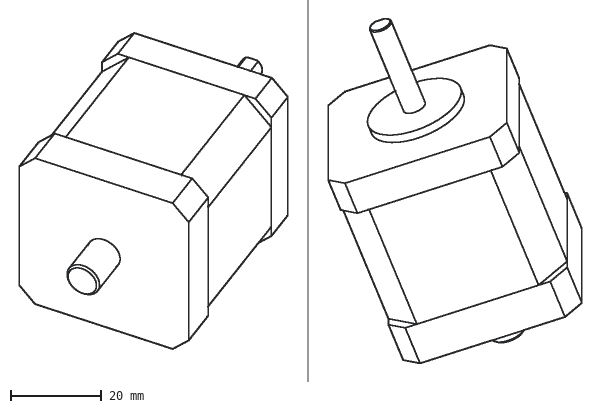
import cadquery as cq

frame_width = 42.0
cap_corner = 4.0
stator_corner = 6.7

total_length = 82.8
rear_shaft_length = 10.5
rear_cap_length = 9.5
front_cap_length = 8.0
flange_length = 2.0
front_shaft_length = 22.0
stator_length = (total_length - rear_shaft_length - rear_cap_length
                 - front_cap_length - flange_length - front_shaft_length)

rear_shaft_diameter = 8.0
rear_shaft_chamfer = 0.5
flange_diameter = 22.0
front_shaft_diameter = 5.1
front_shaft_chamfer = 0.25

flat_length = 15.0
flat_depth = 0.5

stator_rear = -stator_length / 2
stator_front = stator_length / 2
rear_face = stator_rear - rear_cap_length
rear_tip = rear_face - rear_shaft_length
front_face = stator_front + front_cap_length
flange_face = front_face + flange_length
front_tip = flange_face + front_shaft_length


def section_plane(y):
    """Plane across the motor axis at the given Y, extruding toward +Y."""
    return cq.Workplane("XZ", origin=(0, y, 0)).transformed(rotate=(180, 0, 0))


def frame_block(start_y, length, corner):
    """Square block with its four long edges chamfered."""
    block = section_plane(start_y).rect(frame_width, frame_width).extrude(length)
    return block.edges("|Y").chamfer(corner)


def cylinder(start_y, length, diameter):
    """Cylinder on the motor axis."""
    return section_plane(start_y).circle(diameter / 2).extrude(length)


def make_front_shaft():
    """Output shaft with a chamfered tip and a flat facing +Z."""
    shaft = cylinder(flange_face, front_shaft_length, front_shaft_diameter)
    shaft = shaft.faces(">Y").chamfer(front_shaft_chamfer)
    flat_center_y = front_tip - flat_length / 2
    flat_center_z = front_shaft_diameter / 2 - flat_depth / 2
    flat_cutter = cq.Workplane("XY").box(front_shaft_diameter, flat_length, flat_depth)
    return shaft.cut(flat_cutter.translate((0, flat_center_y, flat_center_z)))


def make_front_cap():
    """Front end cap with its centring flange and output shaft."""
    cap = frame_block(stator_front, front_cap_length, cap_corner)
    flange = cylinder(front_face, flange_length, flange_diameter)
    return cap.union(flange).union(make_front_shaft())


def make_stator():
    """Middle block, with larger corner chamfers than the caps."""
    return frame_block(stator_rear, stator_length, stator_corner)


def make_rear_cap():
    """Rear end cap with its chamfered shaft stub."""
    cap = frame_block(rear_face, rear_cap_length, cap_corner)
    shaft = cylinder(rear_tip, rear_shaft_length, rear_shaft_diameter)
    shaft = shaft.faces("<Y").chamfer(rear_shaft_chamfer)
    return cap.union(shaft)


front_cap = make_front_cap()
stator = make_stator()
rear_cap = make_rear_cap()

bodies = [front_cap, stator, rear_cap]
result = cq.Compound.makeCompound([body.solids().val() for body in bodies])